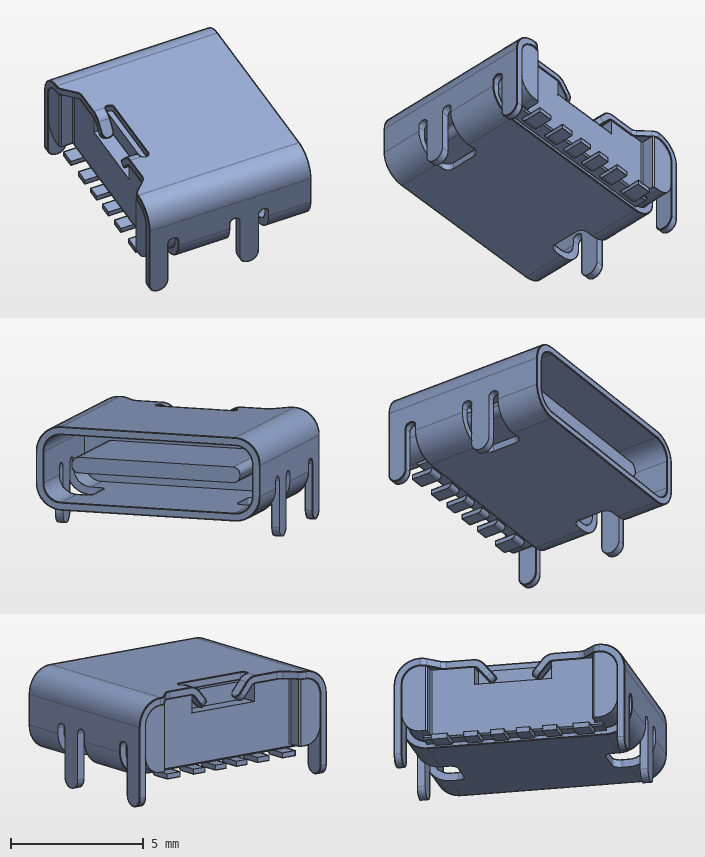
import cadquery as cq
import math


WIDTH = 8.94
LENGTH = 6.8
HEIGHT = 3.2
SHEET = 0.3
CORNER_RADIUS = 1.0
INNER_RADIUS = CORNER_RADIUS - SHEET
EDGE_CHAMFER = 0.03
HALF_WIDTH = WIDTH / 2
FLAT_HALF_WIDTH = HALF_WIDTH - CORNER_RADIUS
ROOF_UNDERSIDE = HEIGHT - SHEET

LEG_WIDTH = 0.79
LEG_REACH = 0.96
REAR_LEG_Y = 4.19
SLOT_WIDTH = 0.42
FLOOR_START = LEG_WIDTH + SLOT_WIDTH
SLOT_TOP = 1.44
FLOOR_CUT_INNER_X = 2.86
FLOOR_CUT_RADIUS = 0.3
FRONT_LEG_Y = LEG_WIDTH / 2

NOTCH_DEPTH = 0.62
NOTCH_INNER_RADIUS = 0.3
NOTCH_OUTER_RADIUS = 0.37
NOTCH_LIP_X = FLAT_HALF_WIDTH

OPENING_HALF_WIDTH = 1.56
RELIEF_HALF_WIDTH = 1.6
RELIEF_START = 1.11
RELIEF_END = 1.42
RELIEF_RADIUS = 0.14
RELIEF_MIDDLE = (RELIEF_START + RELIEF_END) / 2
TAB_ANGLE = 50.0
TAB_BEND_RADIUS = 0.25
TAB_STRAIGHT = 0.7
TAB_TIP_RADIUS = 0.22

HOUSING_BACK = 2.15
CHEEK_INNER_X = 3.2
CHEEK_CHAMFER = 0.06
RECESS_CHAMFER = 0.05
FOOT_CHAMFER = 0.06
POCKET_HALF_WIDTH = 1.49
POCKET_BACK = 1.22
POCKET_DEPTH = 1.0
FOOT_HALF_WIDTH = 3.48
FOOT_UNDERSIDE = 0.16

TONGUE_WIDTH = 6.705
TONGUE_THICKNESS = 0.6
TONGUE_EDGE_RADIUS = 0.27
TONGUE_END = 5.9

PINS = [(0.5, 0.51), (1.53, 0.545), (2.75, 0.62)]
PIN_UNDERSIDE = -0.04
PIN_FRONT = 0.12
PIN_BACK = 1.02
PIN_BEND_RADIUS = 0.19


def box(x_min, x_max, y_min, y_max, z_min, z_max):
    return (
        cq.Workplane("XY")
        .box(x_max - x_min, y_max - y_min, z_max - z_min, centered=False)
        .translate((x_min, y_min, z_min))
    )


def rounded_bar(half_width, z_min, z_max, radius, y_min, y_max):
    """Bar along Y whose long edges are rounded."""
    return box(-half_width, half_width, y_min, y_max, z_min, z_max).edges("|Y").fillet(radius)


def cavity(y_min, y_max):
    """Space enclosed by the shell walls."""
    return rounded_bar(HALF_WIDTH - SHEET, SHEET, ROOF_UNDERSIDE, INNER_RADIUS, y_min, y_max)


def leg(center_y):
    """Round-ended legs on both walls, up to the top of the slots."""
    tip_radius = LEG_WIDTH / 2
    blade = (
        cq.Workplane("YZ")
        .moveTo(center_y - tip_radius, SLOT_TOP)
        .lineTo(center_y - tip_radius, tip_radius - LEG_REACH)
        .threePointArc((center_y, -LEG_REACH), (center_y + tip_radius, tip_radius - LEG_REACH))
        .lineTo(center_y + tip_radius, SLOT_TOP)
        .close()
        .extrude(SHEET)
    )
    left = blade.translate((-HALF_WIDTH, 0, 0))
    return left.union(left.mirror("YZ"))


def leg_slot(center_y):
    """Round-topped slot through both walls beside a leg."""
    radius = SLOT_WIDTH / 2
    return (
        cq.Workplane("YZ")
        .moveTo(center_y - radius, 0)
        .lineTo(center_y - radius, SLOT_TOP - radius)
        .threePointArc((center_y, SLOT_TOP), (center_y + radius, SLOT_TOP - radius))
        .lineTo(center_y + radius, 0)
        .close()
        .extrude(HALF_WIDTH, both=True)
        .cut(box(-FLAT_HALF_WIDTH, FLAT_HALF_WIDTH, 0, LENGTH, 0, HEIGHT))
    )


def rear_floor_cut():
    """Floor and lower corners left open where the rear legs were bent out."""
    half_length = LEG_WIDTH / 2 + SLOT_WIDTH
    left = (
        box(
            -HALF_WIDTH, -FLOOR_CUT_INNER_X,
            REAR_LEG_Y - half_length, REAR_LEG_Y + half_length,
            0, SLOT_TOP - SLOT_WIDTH / 2,
        )
        .edges("|Z and >X")
        .fillet(FLOOR_CUT_RADIUS)
    )
    return left.union(left.mirror("YZ"))


def front_floor_cut():
    """Floor and lower corners left open at the pin end."""
    return box(-HALF_WIDTH, HALF_WIDTH, 0, FLOOR_START, 0, SLOT_TOP - SLOT_WIDTH / 2)


def roof_notch():
    """Roof cut-out at the pin end with 45 degree sides and eased corners."""
    turn = math.radians(45)

    def easing_point(angle):
        x = NOTCH_LIP_X - NOTCH_OUTER_RADIUS * math.sin(angle)
        return (x, NOTCH_OUTER_RADIUS * (1 - math.cos(angle)))

    def mirrored(point):
        return (-point[0], point[1])

    easing_middle = easing_point(turn / 2)
    easing_end = easing_point(turn)
    inner_corner = (easing_end[0] - (NOTCH_DEPTH - easing_end[1]), NOTCH_DEPTH)
    return (
        cq.Workplane("XY", origin=(0, 0, ROOF_UNDERSIDE))
        .moveTo(-NOTCH_LIP_X, 0)
        .threePointArc(mirrored(easing_middle), mirrored(easing_end))
        .lineTo(*mirrored(inner_corner))
        .lineTo(*inner_corner)
        .lineTo(*easing_end)
        .threePointArc(easing_middle, (NOTCH_LIP_X, 0))
        .close()
        .extrude(SHEET)
        .edges("|Z and >Y")
        .fillet(NOTCH_INNER_RADIUS)
    )


def tab_relief():
    """Rounded gap that frees the back edges of the spring tabs."""
    return box(
        -RELIEF_HALF_WIDTH, RELIEF_HALF_WIDTH, RELIEF_START, RELIEF_END, HEIGHT / 2, HEIGHT
    ).edges("|Z").fillet(RELIEF_RADIUS)


def roof_opening():
    """Opening between the roots of the two spring tabs, reaching into the relief."""
    return box(
        -OPENING_HALF_WIDTH, OPENING_HALF_WIDTH, NOTCH_DEPTH, RELIEF_MIDDLE, ROOF_UNDERSIDE, HEIGHT
    )


def spring_tabs():
    """Tabs bent down and inwards from the sides of the roof opening."""
    angle = math.radians(TAB_ANGLE)
    outer_radius = TAB_BEND_RADIUS + SHEET
    bend_z = HEIGHT - outer_radius

    def bend_point(radius, turn):
        return (-OPENING_HALF_WIDTH + radius * math.sin(turn), bend_z + radius * math.cos(turn))

    def tip_point(radius):
        x, z = bend_point(radius, angle)
        return (x + TAB_STRAIGHT * math.cos(angle), z - TAB_STRAIGHT * math.sin(angle))

    left = (
        cq.Workplane("XZ")
        .moveTo(*bend_point(outer_radius, 0))
        .threePointArc(bend_point(outer_radius, angle / 2), bend_point(outer_radius, angle))
        .lineTo(*tip_point(outer_radius))
        .lineTo(*tip_point(TAB_BEND_RADIUS))
        .lineTo(*bend_point(TAB_BEND_RADIUS, angle))
        .threePointArc(bend_point(TAB_BEND_RADIUS, angle / 2), bend_point(TAB_BEND_RADIUS, 0))
        .close()
        .extrude(NOTCH_DEPTH - RELIEF_MIDDLE)
        .translate((0, NOTCH_DEPTH, 0))
        .cut(tab_relief())
    )
    through_thickness = cq.Vector(math.sin(angle), 0, math.cos(angle))
    left = left.edges(cq.selectors.ParallelDirSelector(through_thickness)).fillet(TAB_TIP_RADIUS)
    return left.union(left.mirror("YZ"))


def chamfer_outline(shell):
    """Break both edges of the sheet around the mouth and around the pin-end outline.

    The pin-end outline is smooth, so the chamfer runs on from the front edges along
    the notch, the spring tabs, the legs and the slots. The short edges across the
    sheet thickness are left alone.
    """
    shortest_edge = 2 * SHEET
    outline_edges = [
        edge for edge in shell.faces("<Y or >Y").edges().vals() if edge.Length() > shortest_edge
    ]
    return shell.newObject(outline_edges).chamfer(EDGE_CHAMFER)


def make_shell():
    shell = rounded_bar(HALF_WIDTH, 0, HEIGHT, CORNER_RADIUS, 0, LENGTH).cut(cavity(0, LENGTH))
    shell = shell.cut(front_floor_cut()).cut(rear_floor_cut())
    slot_offset = (LEG_WIDTH + SLOT_WIDTH) / 2
    for slot_y in (FRONT_LEG_Y + slot_offset, REAR_LEG_Y - slot_offset, REAR_LEG_Y + slot_offset):
        shell = shell.cut(leg_slot(slot_y))
    shell = shell.union(leg(FRONT_LEG_Y)).union(leg(REAR_LEG_Y))
    shell = shell.cut(roof_notch()).cut(roof_opening()).cut(tab_relief())
    return chamfer_outline(shell.union(spring_tabs()))


def make_housing():
    """Block filling the pin end, recessed between two cheeks."""
    housing = cavity(EDGE_CHAMFER, HOUSING_BACK)
    recess = box(-CHEEK_INNER_X, CHEEK_INNER_X, 0, NOTCH_DEPTH, 0, HEIGHT)
    recess = recess.edges("|Z and >Y").chamfer(RECESS_CHAMFER)
    housing = housing.cut(recess)
    cheek_inner_edges = housing.faces("<Y").edges("|Z").edges("not (<X or >X)")
    housing = cheek_inner_edges.chamfer(CHEEK_CHAMFER)
    foot = box(-FOOT_HALF_WIDTH, FOOT_HALF_WIDTH, NOTCH_DEPTH, FLOOR_START, FOOT_UNDERSIDE, SHEET)
    foot = foot.edges("<Y and <Z").chamfer(FOOT_CHAMFER)
    housing = housing.union(foot)
    pocket = box(
        -POCKET_HALF_WIDTH, POCKET_HALF_WIDTH, NOTCH_DEPTH, POCKET_BACK,
        HEIGHT - POCKET_DEPTH, ROOF_UNDERSIDE,
    )
    return housing.cut(pocket)


def make_tongue():
    middle_z = HEIGHT / 2
    half = TONGUE_THICKNESS / 2
    return rounded_bar(
        TONGUE_WIDTH / 2,
        middle_z - half, middle_z + half,
        TONGUE_EDGE_RADIUS,
        HOUSING_BACK, TONGUE_END,
    )


def make_pin(center_x, width):
    """Flat pin that runs forward and curves up under the housing foot."""
    blank = box(
        center_x - width / 2, center_x + width / 2,
        PIN_FRONT, PIN_BACK,
        PIN_UNDERSIDE, FOOT_UNDERSIDE,
    )
    return blank.edges(">Y and <Z").fillet(PIN_BEND_RADIUS)


result = make_shell().union(make_housing()).union(make_tongue())
for pin_x, pin_width in PINS:
    for side in (-1, 1):
        result = result.union(make_pin(side * pin_x, pin_width))